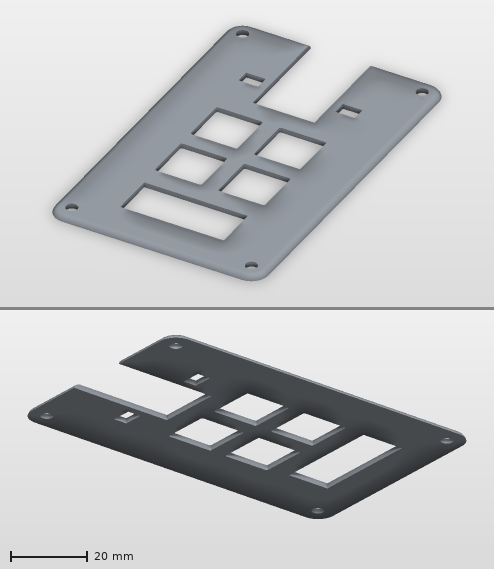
import cadquery as cq
import math

width = 64.0
length = 101.0
thickness = 1.5
corner_radius = 5.0
edge_radius = 2.0

screw_diameter = 3.4
screw_x = width / 2 - corner_radius
screw_y = length / 2 - corner_radius

notch_width = 18.6
notch_floor_y = 19.4

slot_width = 5.9
slot_height = 4.0
slot_x = 14.5
slot_y = 28.5

key_size = 14.0
key_pitch = 19.0
key_corner_radius = 0.5
key_grid_y = -3.4

window_width = 31.1
window_height = 12.8
window_x = -0.5
window_y = -32.6


def rounded_plate():
    """Plate whose rim is an arc tangent to the top and cut off by the flat underside."""
    arc_depth_below = edge_radius - thickness
    overhang = edge_radius - math.sqrt(edge_radius**2 - arc_depth_below**2)
    blank_height = 2 * edge_radius
    blank = (
        cq.Workplane("XY")
        .workplane(offset=thickness - blank_height)
        .rect(width + 2 * overhang, length + 2 * overhang)
        .extrude(blank_height)
        .edges("|Z")
        .fillet(corner_radius + overhang)
        .faces(">Z")
        .edges()
        .fillet(edge_radius)
    )
    keep = cq.Workplane("XY").box(2 * width, 2 * length, thickness, centered=(True, True, False))
    return blank.intersect(keep)


def rectangular_cutter(points, size_x, size_y):
    """Rectangular through cutters centred on the given points."""
    return cq.Workplane("XY").pushPoints(points).rect(size_x, size_y).extrude(thickness)


screw_holes = (
    cq.Workplane("XY")
    .rect(2 * screw_x, 2 * screw_y, forConstruction=True)
    .vertices()
    .circle(screw_diameter / 2)
    .extrude(thickness)
)

notch_length = length - notch_floor_y
notch = rectangular_cutter([(0, notch_floor_y + notch_length / 2)], notch_width, notch_length)

slots = rectangular_cutter([(-slot_x, slot_y), (slot_x, slot_y)], slot_width, slot_height)

key_centers = [
    (column * key_pitch / 2, key_grid_y + row * key_pitch / 2)
    for column in (-1, 1)
    for row in (-1, 1)
]
keys = rectangular_cutter(key_centers, key_size, key_size).edges("|Z").fillet(key_corner_radius)

window = rectangular_cutter([(window_x, window_y)], window_width, window_height)

result = rounded_plate()
for cutter in (screw_holes, notch, slots, keys, window):
    result = result.cut(cutter)